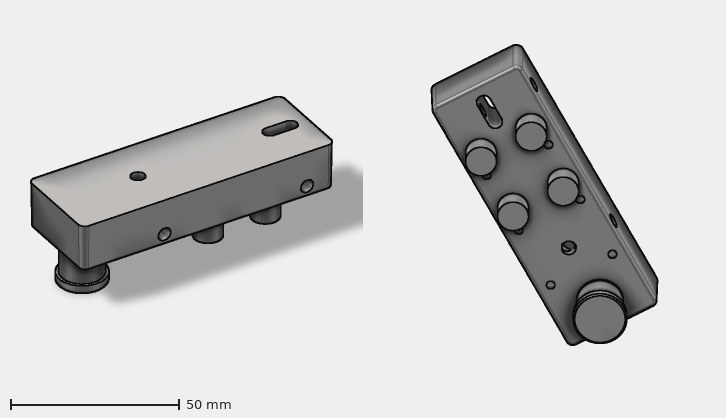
import cadquery as cq


base_width = 30.0
base_length = 87.6
block_height = 16.0
draft_angle = 1.0
corner_radius = 2.0
bottom_edge_radius = 1.0

hole_diameter = 4.3
hole_draft_angle = 0.5
vertical_hole_y = -15.2
slot_y = 34.4
slot_length = 11.4

cross_hole_ys = (34.5, -15.2)
cross_hole_z = 3.8

peg_diameter = 9.2
peg_length = 6.7
peg_row_x = 8.45
row_pitch = 20.0
first_peg_y = 24.0
peg_count = 2

bump_sphere_diameter = 5.65
bump_height = 0.3
bump_row_x = 10.4
first_bump_y = 16.85
bump_count = 3

knob_y = -34.65
shaft_diameter = 14.0
groove_diameter = 13.0
groove_depth = (shaft_diameter - groove_diameter) / 2
collar_height = 0.5
knob_bottom_z = -14.0
flange_diameter = 16.0
flange_thickness = 3.0
flange_chamfer = 0.5


def row_points(row_x, first_y, count):
    """Points of two rows mirrored about X = 0, stepping towards -Y."""
    return [(side * row_x, first_y - step * row_pitch) for side in (-1, 1) for step in range(count)]


def make_block():
    outline = cq.Sketch().rect(base_width, base_length).vertices().fillet(corner_radius)
    block = cq.Workplane("XY").placeSketch(outline).extrude(block_height, taper=-draft_angle)
    return block.faces("<Z").edges().fillet(bottom_edge_radius)


def make_pegs():
    peg_points = row_points(peg_row_x, first_peg_y, peg_count)
    return cq.Workplane("XY").pushPoints(peg_points).circle(peg_diameter / 2).extrude(-peg_length)


def add_bumps(body):
    sphere_radius = bump_sphere_diameter / 2
    for x, y in row_points(bump_row_x, first_bump_y, bump_count):
        bump = cq.Workplane("XY").sphere(sphere_radius).translate((x, y, sphere_radius - bump_height))
        body = body.union(bump)
    return body


def make_collar():
    """Cone on the underside that forms the upper flank of the V-groove."""
    cone = cq.Solid.makeCone(groove_diameter / 2, shaft_diameter / 2, collar_height)
    return cq.Workplane(cone).translate((0, knob_y, -collar_height))


def cut_holes(body):
    vertical_hole = (
        cq.Workplane("XY")
        .center(0, vertical_hole_y)
        .circle(hole_diameter / 2)
        .extrude(block_height, taper=-hole_draft_angle)
    )
    vertical_slot = (
        cq.Workplane("XY")
        .center(0, slot_y)
        .slot2D(slot_length, hole_diameter, 90)
        .extrude(block_height, taper=-hole_draft_angle)
    )
    cross_holes = (
        cq.Workplane("YZ")
        .pushPoints([(y, cross_hole_z) for y in cross_hole_ys])
        .circle(hole_diameter / 2)
        .extrude(base_width, both=True)
    )
    return body.cut(vertical_hole).cut(vertical_slot).cut(cross_holes)


def make_housing():
    body = make_block().union(make_pegs())
    body = add_bumps(body).union(make_collar())
    return cut_holes(body)


def make_knob():
    """Turned knob: chamfered top edge, straight shaft and chamfered flange."""
    shaft_radius = shaft_diameter / 2
    flange_radius = flange_diameter / 2
    flange_top_z = knob_bottom_z + flange_thickness
    profile = (
        cq.Workplane("XZ")
        .moveTo(0, -collar_height)
        .lineTo(groove_diameter / 2, -collar_height)
        .lineTo(shaft_radius, -collar_height - groove_depth)
        .lineTo(shaft_radius, flange_top_z)
        .lineTo(flange_radius, flange_top_z)
        .lineTo(flange_radius, knob_bottom_z + flange_chamfer)
        .lineTo(flange_radius - flange_chamfer, knob_bottom_z)
        .lineTo(0, knob_bottom_z)
        .close()
    )
    return profile.revolve(360, (0, 0, 0), (0, 1, 0)).translate((0, knob_y, 0))


housing = make_housing()
knob = make_knob()
result = cq.Compound.makeCompound([housing.val(), knob.val()])